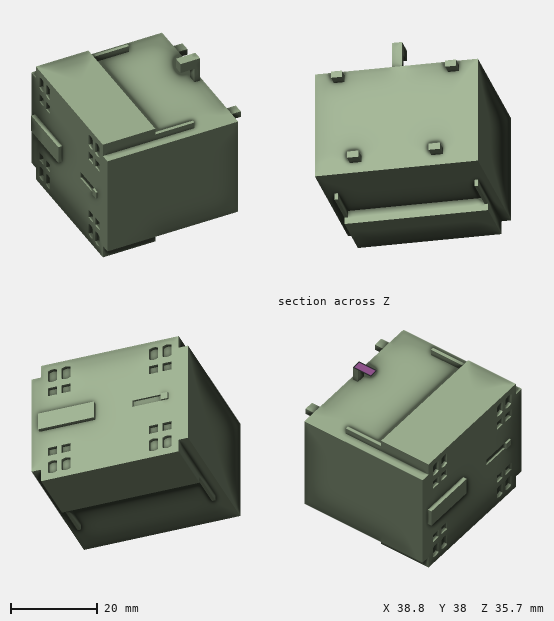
import cadquery as cq

body_width = 38.8
body_depth = 34.0
body_height = 26.0

raised_width = 34.15
raised_height = 3.25
raised_depth = 13.65
rail_width = 0.8
rail_height = raised_height / 2
rail_end = 23.8

hook_width = 2.4
hook_height = 6.45
hook_length = 5.1
hook_back_gap = 0.62
stem_thickness = 1.45
arm_thickness = 2.55

peg_length = 3.0
peg_height = 1.6
outer_peg_width = 2.55
outer_peg_x = 13.58
outer_peg_z = 11.15
inner_peg_width = 2.7
inner_peg_x = 9.7
inner_peg_z = -9.65

opening_depth = 0.95
opening_width = 2.2
opening_spacing = 3.35
opening_group_x = 12.53
square_z = 8.4
oblong_z = 12.85
oblong_height = 3.5
oblong_bulge = 0.35

plate_left = -17.38
plate_width = 13.8
plate_height = 4.45
plate_thickness = 1.05

slot_right = 14.5
slot_width = 8.9
slot_height = 1.75
slot_depth = 0.5
knob_width = slot_height
knob_projection = 0.45


def block(x_centre, y_front, z_centre, width, depth, height):
    """Box centred on X and Z that runs back from y_front."""
    return (
        cq.Workplane("XY")
        .box(width, depth, height, centered=(True, False, True))
        .translate((x_centre, y_front, z_centre))
    )


def raised_side(side):
    """Raised block and its two rails, on the top (side = 1) or bottom (side = -1)."""
    face_z = body_height / 2
    rail_x = (raised_width - rail_width) / 2
    rail_z = side * (face_z + rail_height / 2)
    raised = block(
        0, 0, side * (face_z + raised_height / 2), raised_width, raised_depth, raised_height
    )
    for x in (-rail_x, rail_x):
        raised = raised.union(block(x, 0, rail_z, rail_width, rail_end, rail_height))
    return raised


def hook():
    """L-shaped hook whose arm points to the front."""
    back = body_depth - hook_back_gap
    base = body_height / 2
    tip = back - hook_length
    top = base + hook_height
    outline = [
        (back, base),
        (back, top),
        (tip, top),
        (tip, top - arm_thickness),
        (back - stem_thickness, top - arm_thickness),
        (back - stem_thickness, base),
    ]
    return cq.Workplane("YZ").polyline(outline).close().extrude(hook_width / 2, both=True)


def oblong_opening(x, z):
    """Opening with straight sides and shallow arched ends."""
    half_width = opening_width / 2
    half_height = oblong_height / 2
    shoulder = half_height - oblong_bulge
    return (
        cq.Workplane("XZ")
        .moveTo(-half_width, -shoulder)
        .lineTo(-half_width, shoulder)
        .threePointArc((0, half_height), (half_width, shoulder))
        .lineTo(half_width, -shoulder)
        .threePointArc((0, -half_height), (-half_width, -shoulder))
        .close()
        .extrude(-opening_depth)
        .translate((x, 0, z))
    )


result = block(0, 0, 0, body_width, body_depth, body_height)
for side in (1, -1):
    result = result.union(raised_side(side))
result = result.union(hook())

for side in (1, -1):
    outer_peg = block(
        side * outer_peg_x, body_depth, outer_peg_z, outer_peg_width, peg_length, peg_height
    )
    inner_peg = block(
        side * inner_peg_x, body_depth, inner_peg_z, inner_peg_width, peg_length, peg_height
    )
    result = result.union(outer_peg).union(inner_peg)

for side_x in (1, -1):
    for side_z in (1, -1):
        for offset in (-opening_spacing / 2, opening_spacing / 2):
            x = side_x * opening_group_x + offset
            square_opening = block(
                x, 0, side_z * square_z, opening_width, opening_depth, opening_width
            )
            result = result.cut(square_opening).cut(oblong_opening(x, side_z * oblong_z))

plate_x = plate_left + plate_width / 2
result = result.union(
    block(plate_x, -plate_thickness, 0, plate_width, plate_thickness, plate_height)
)

slot_x = slot_right - slot_width / 2
knob_x = slot_right - knob_width / 2
result = result.cut(block(slot_x, 0, 0, slot_width, slot_depth, slot_height))
result = result.union(
    block(knob_x, -knob_projection, 0, knob_width, knob_projection + slot_depth, slot_height)
)